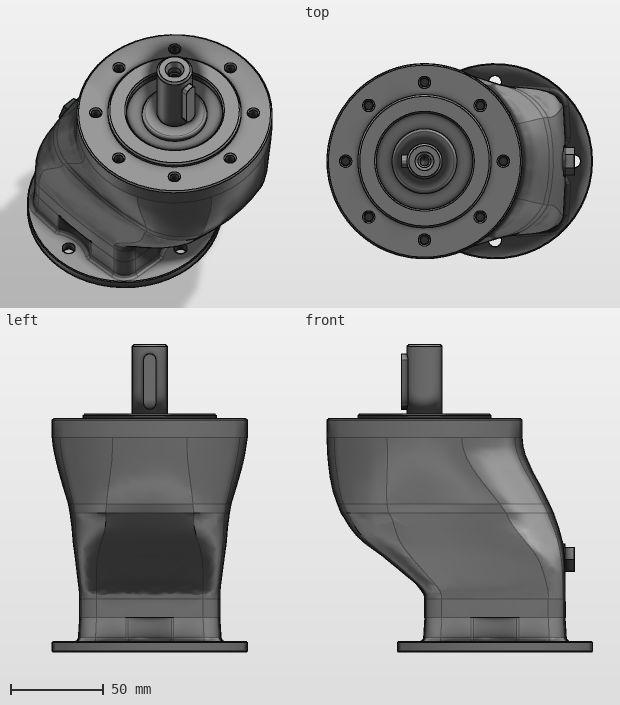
import cadquery as cq
import math

flange_diameter = 105.0
shaft_offset_x = -38.0
total_height = 165.7

foot_thickness = 5.6
foot_edge_chamfer = 0.5
foot_bolt_radius = 42.6
foot_hole_diameter = 7.0
foot_hole_count = 4

pedestal_bottom_half_width = 38.8
pedestal_top_z = 18.5
pedestal_top_half_width = 38.0
pedestal_fillet = 2.3
scallop_radius = 21.5
scallop_depth = 4.0
scallop_edge_round = 2.0

collar_half_width = 38.0
collar_flat_half = 28.7
collar_corner_size = 8.1
collar_top_z = 28.5

lower_stations = [
    (33.1, -39.3, 38.0, 38.0, 0.0),
    (41.6, -47.9, 37.8, 39.0, 0.05),
    (49.0, -57.0, 37.5, 40.0, 0.12),
    (58.0, -69.1, 36.6, 41.1, 0.3),
    (66.3, -77.5, 34.6, 42.0, 0.48),
]
band_bottom = (74.9, -82.8, 31.5, 42.9, 0.54)
band_top = (79.7, -84.8, 29.3, 43.7, 0.6)
upper_stations = [
    (87.8, -87.5, 25.4, 46.2, 0.73),
    (97.0, -89.1, 20.4, 48.9, 0.87),
    (106.4, -90.1, 16.2, 51.2, 0.97),
]
housing_top_z = 115.7

points_per_section = 16

output_face_z = 125.8
output_edge_chamfer = 0.8
output_bolt_radius = 42.5
output_hole_count = 8
output_hole_diameter = 5.0
output_hole_mouth = 6.6
output_hole_depth = 10.0
pilot_diameter = 71.7
pilot_height = 2.5
pilot_chamfer = 1.0
recess_diameter = 52.0
recess_depth = 4.5
recess_chamfer = 0.8

seal_diameter = 35.0
seal_height = 2.7
seal_round = 1.5
shaft_diameter = 19.0
shaft_chamfer = 1.2
centre_mouth_diameter = 10.1
centre_step_diameter = 7.0
centre_cone_depth = 3.3
centre_step_depth = 7.5
centre_hole_diameter = 5.0
centre_hole_depth = 19.9
key_width = 6.6
key_bottom_z = 130.7
key_top_z = 160.5
key_outer_reach = 12.5
key_seat_reach = 5.8

plug_z = 49.9
plug_washer_diameter = 16.7
plug_washer_x = 37.6
plug_head_x = 42.8
plug_across_flats = 13.0

drill_point_angle = 118.0
position_tolerance = 0.02
pilot_top_z = output_face_z + pilot_height
recess_floor_z = pilot_top_z - recess_depth


def quarter_points(half_width, flat_half, corner_size):
    """Side middle and corner arc of the bulged square, with the corner tangent to both sides."""
    corner_reach = flat_half + corner_size
    side_slope = 2 * math.atan((half_width - corner_reach) / flat_half)
    corner_turn = math.pi / 2 - 2 * side_slope
    corner_sagitta = corner_size * math.sqrt(0.5) * math.tan(corner_turn / 4)
    corner_mid = flat_half + corner_size / 2 + corner_sagitta * math.sqrt(0.5)
    return [(half_width, 0), (corner_reach, flat_half), (corner_mid, corner_mid), (flat_half, corner_reach)]


def rotate_quarter(point, turns):
    """Turn a point about the origin by whole quarter turns."""
    x, y = point
    for _ in range(turns):
        x, y = -y, x
    return (x, y)


def circle_positions(radius, count, centre_x=0.0):
    angles = [2 * math.pi * i / count for i in range(count)]
    return [(centre_x + radius * math.cos(a), radius * math.sin(a)) for a in angles]


def section_points(roundness):
    """Points of a section of half width 1, mixed from the bulged square and the circle."""
    square = quarter_points(
        1.0, collar_flat_half / collar_half_width, collar_corner_size / collar_half_width
    )
    circle = circle_positions(1.0, points_per_section)[: len(square)]
    mixed = []
    for (square_x, square_y), (circle_x, circle_y) in zip(square, circle):
        mixed.append((
            square_x + roundness * (circle_x - square_x),
            square_y + roundness * (circle_y - square_y),
        ))
    return [rotate_quarter(point, turns) for turns in range(4) for point in mixed]


def section_wire(workplane, left_x, right_x, half_y, roundness):
    """Closed outline of four side arcs and four corner arcs."""
    centre_x = (left_x + right_x) / 2
    half_x = (right_x - left_x) / 2
    points = [(centre_x + half_x * u, half_y * v) for u, v in section_points(roundness)]
    outline = workplane.moveTo(*points[-1])
    for middle, end in zip(points[0::2], points[1::2]):
        outline = outline.threePointArc(middle, end)
    return outline.close()


def cylinder(diameter, bottom_z, top_z, x=0.0):
    return cq.Workplane("XY", origin=(x, 0, bottom_z)).circle(diameter / 2).extrude(top_z - bottom_z)


def drill(diameter, top_z, depth, mouth_diameter, mouth_depth, x=0.0, y=0.0):
    """Blind hole along Z with a conical mouth and a drill point."""
    radius = diameter / 2
    point_depth = radius / math.tan(math.radians(drill_point_angle / 2))
    profile = [
        (0, 0),
        (mouth_diameter / 2, 0),
        (radius, -mouth_depth),
        (radius, -depth),
        (0, -depth - point_depth),
    ]
    tool = cq.Workplane("XZ").polyline(profile).close().revolve(360, (0, 0), (0, 1))
    return tool.translate((x, y, top_z))


def is_scallop_edge(edge):
    """True for the upright edges beside a scallop, not for those at the pedestal corners."""
    middle = edge.Center()
    return min(abs(middle.x), abs(middle.y)) < scallop_radius


def pedestal_outline(half_width, z):
    """Bulged square with a rounded scallop in the middle of each side."""
    plane = cq.Workplane("XY", origin=(0, 0, z))
    block = section_wire(plane, -half_width, half_width, half_width, 0.0).extrude(1.7)
    scallop_centre = half_width - scallop_depth + scallop_radius
    for x, y in circle_positions(scallop_centre, foot_hole_count):
        block = block.cut(plane.center(x, y).circle(scallop_radius).extrude(1.7))
    block = block.edges("|Z").filter(is_scallop_edge).fillet(scallop_edge_round)
    return block.faces("<Z").wires().val()


def make_pedestal():
    """Block that narrows slightly from the foot up to the collar."""
    bottom = pedestal_outline(pedestal_bottom_half_width, foot_thickness)
    top = pedestal_outline(pedestal_top_half_width, pedestal_top_z)
    return cq.Workplane(cq.Solid.makeLoft([bottom, top], True))


def is_pedestal_root(edge):
    """True for the edges where the pedestal stands on the foot, not for the foot's own rim."""
    middle = edge.Center()
    bounds = edge.BoundingBox()
    is_level = bounds.zlen < position_tolerance
    at_foot_top = abs(middle.z - foot_thickness) < position_tolerance
    is_rim = math.hypot(middle.x, middle.y) < position_tolerance
    return is_level and at_foot_top and not is_rim


def make_foot():
    foot = cylinder(flange_diameter, 0, foot_thickness).edges().chamfer(foot_edge_chamfer)
    foot = foot.union(make_pedestal())
    foot = foot.edges().filter(is_pedestal_root).fillet(pedestal_fillet)
    for x, y in circle_positions(foot_bolt_radius, foot_hole_count):
        foot = foot.cut(cylinder(foot_hole_diameter, 0, foot_thickness).translate((x, y, 0)))
    return foot


def make_collar():
    plane = cq.Workplane("XY", origin=(0, 0, pedestal_top_z))
    outline = section_wire(plane, -collar_half_width, collar_half_width, collar_half_width, 0.0)
    return outline.extrude(collar_top_z - pedestal_top_z)


def loft_stations(stations, ruled):
    """Solid through a list of housing sections."""
    wires = []
    for z, left_x, right_x, half_y, roundness in stations:
        plane = cq.Workplane("XY", origin=(0, 0, z))
        wires.append(section_wire(plane, left_x, right_x, half_y, roundness).wire().val())
    return cq.Workplane(cq.Solid.makeLoft(wires, ruled))


def make_housing():
    """Lower and upper skins meet at a narrow straight-sided band."""
    flange_radius = flange_diameter / 2
    flange_left_x = shaft_offset_x - flange_radius
    flange_right_x = shaft_offset_x + flange_radius
    collar = (collar_top_z, -collar_half_width, collar_half_width, collar_half_width, 0.0)
    flange = (housing_top_z, flange_left_x, flange_right_x, flange_radius, 1.0)
    lower = loft_stations([collar, *lower_stations, band_bottom], False)
    band = loft_stations([band_bottom, band_top], True)
    upper = loft_stations([band_top, *upper_stations, flange], False)
    return lower.union(band).union(upper)


def make_output_flange():
    flange = cylinder(flange_diameter, housing_top_z, output_face_z, shaft_offset_x)
    flange = flange.faces(">Z").edges().chamfer(output_edge_chamfer)
    pilot = cylinder(pilot_diameter, output_face_z, pilot_top_z, shaft_offset_x)
    flange = flange.union(pilot.faces(">Z").edges().chamfer(pilot_chamfer))
    flange = flange.cut(cylinder(recess_diameter, recess_floor_z, pilot_top_z, shaft_offset_x))
    flange = flange.faces(">Z").edges(cq.selectors.RadiusNthSelector(0)).chamfer(recess_chamfer)
    mouth_depth = (output_hole_mouth - output_hole_diameter) / 2
    for x, y in circle_positions(output_bolt_radius, output_hole_count, shaft_offset_x):
        flange = flange.cut(drill(
            output_hole_diameter, output_face_z, output_hole_depth, output_hole_mouth, mouth_depth, x, y
        ))
    return flange


def make_shaft():
    seal = cylinder(seal_diameter, recess_floor_z, recess_floor_z + seal_height, shaft_offset_x)
    seal = seal.faces(">Z").edges().fillet(seal_round)
    shaft = cylinder(shaft_diameter, recess_floor_z, total_height, shaft_offset_x)
    shaft = shaft.faces(">Z").edges().chamfer(shaft_chamfer)
    key_length = key_top_z - key_bottom_z
    key = (
        cq.Workplane("YZ", origin=(shaft_offset_x - key_outer_reach, 0, (key_bottom_z + key_top_z) / 2))
        .slot2D(key_length, key_width, 90)
        .extrude(key_outer_reach - key_seat_reach)
    )
    step = drill(
        centre_step_diameter, total_height, centre_step_depth,
        centre_mouth_diameter, centre_cone_depth, shaft_offset_x,
    )
    core = drill(
        centre_hole_diameter, total_height, centre_hole_depth,
        centre_hole_diameter, centre_cone_depth, shaft_offset_x,
    )
    return seal.union(shaft).union(key).cut(step).cut(core)


def make_plug():
    inner_x = collar_flat_half
    plane = cq.Workplane("YZ", origin=(inner_x, 0, plug_z))
    washer = plane.circle(plug_washer_diameter / 2).extrude(plug_washer_x - inner_x)
    across_corners = plug_across_flats / math.cos(math.pi / 6)
    head = plane.polygon(6, across_corners).extrude(plug_head_x - inner_x)
    return washer.union(head)


result = make_foot()
for piece in (make_collar(), make_housing(), make_output_flange(), make_shaft(), make_plug()):
    result = result.union(piece)